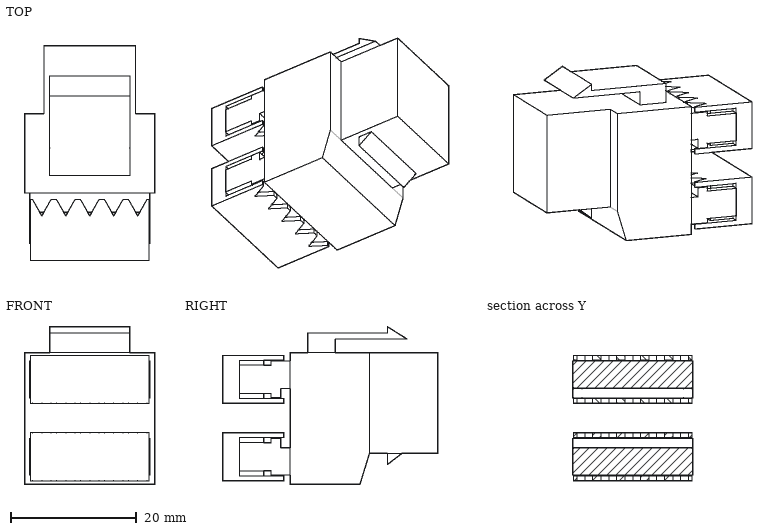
import cadquery as cq


BODY_WIDTH = 20.7
BODY_DEPTH = 12.63
BODY_HEIGHT = 20.95
REAR_WIDTH = 14.55
REAR_BOTTOM = 4.95
HOUSING_DEPTH = 23.45
FLAT_BOTTOM_DEPTH = 11.1

LATCH_WIDTH = 12.75
POST_FRONT = 2.8
POST_BACK = 7.2
BAR_BOTTOM = 23.1
BAR_TOP = 24.07
LATCH_PEAK = 25.08
BARB_FACE = 15.45
LATCH_TIP = 18.6
HOOK_TIP = 17.8
HOOK_DROP = 1.8

STATION_SPACING = 12.3
STATION_MIDDLE = 10.55
UPPER_STATION = STATION_MIDDLE + STATION_SPACING / 2

BLOCK_WIDTH = 19.1
BLOCK_HEIGHT = 5.85
BLOCK_REACH = 3.05
BLOCK_NOTCH_DEPTH = 1.45
BLOCK_NOTCH_HEIGHT = 1.47
ARM_REACH = 8.0
ARM_THICKNESS = 1.5
ARM_HEIGHT = 4.5

CAP_WIDTH = 18.9
CAP_HEIGHT = 7.65
CAP_WALL = 0.8
CAP_EDGE = 1.0
CAP_END = 10.7
CAVITY_END = 4.15
OPENING_HEIGHT = CAP_HEIGHT - 2 * CAP_WALL
ARM_INNER_X = BLOCK_WIDTH / 2 - ARM_THICKNESS

NOTCH_COUNT = 5
NOTCH_PITCH = 3.81
NOTCH_WIDTH = 2.94
NOTCH_DEPTH = 2.6


def box(x_range, y_range, z_range):
    """Box between the given pairs of limits."""
    size = [high - low for low, high in (x_range, y_range, z_range)]
    corner = (x_range[0], y_range[0], z_range[0])
    return cq.Workplane("XY").box(*size, centered=False).translate(corner)


def centered_range(size, middle=0.0):
    return (middle - size / 2, middle + size / 2)


def side_profile(points, width):
    """Extrude a (Y, Z) outline to a width centered on X = 0."""
    return cq.Workplane("YZ").polyline(points).close().extrude(width / 2, both=True)


def mirror_to_lower_station(upper):
    return upper.mirror("XY", (0, 0, STATION_MIDDLE))


def make_shell():
    body = side_profile(
        [
            (0, 0),
            (FLAT_BOTTOM_DEPTH, 0),
            (BODY_DEPTH, REAR_BOTTOM),
            (BODY_DEPTH, BODY_HEIGHT),
            (0, BODY_HEIGHT),
        ],
        BODY_WIDTH,
    )
    rear = box(centered_range(REAR_WIDTH), (BODY_DEPTH, HOUSING_DEPTH), (REAR_BOTTOM, BODY_HEIGHT))
    return body.union(rear)


def make_latch():
    return side_profile(
        [
            (POST_FRONT, BODY_HEIGHT),
            (POST_BACK, BODY_HEIGHT),
            (POST_BACK, BAR_BOTTOM),
            (LATCH_TIP, BAR_BOTTOM),
            (BARB_FACE, LATCH_PEAK),
            (BARB_FACE, BAR_TOP),
            (POST_FRONT, BAR_TOP),
        ],
        LATCH_WIDTH,
    )


def make_hook():
    return side_profile(
        [
            (BARB_FACE, REAR_BOTTOM),
            (BARB_FACE, REAR_BOTTOM - HOOK_DROP),
            (HOOK_TIP, REAR_BOTTOM),
        ],
        LATCH_WIDTH,
    )


def make_terminal_block():
    """Upper terminal block, notched underneath next to the housing face."""
    bottom, top = centered_range(BLOCK_HEIGHT, UPPER_STATION)
    block = side_profile(
        [
            (0, top),
            (-BLOCK_REACH, top),
            (-BLOCK_REACH, bottom),
            (-BLOCK_NOTCH_DEPTH, bottom),
            (-BLOCK_NOTCH_DEPTH, bottom + BLOCK_NOTCH_HEIGHT),
            (0, bottom + BLOCK_NOTCH_HEIGHT),
        ],
        BLOCK_WIDTH,
    )
    arm = box(
        (ARM_INNER_X, BLOCK_WIDTH / 2),
        (-ARM_REACH, -BLOCK_REACH),
        centered_range(ARM_HEIGHT, UPPER_STATION),
    )
    return block.union(arm).union(arm.mirror("YZ"))


def make_housing():
    block = make_terminal_block()
    housing = make_shell().union(make_latch()).union(make_hook())
    return housing.union(block).union(mirror_to_lower_station(block))


def make_wire_notch(x):
    return (
        cq.Workplane("XY")
        .workplane(offset=UPPER_STATION)
        .polyline(
            [
                (x - NOTCH_WIDTH / 2, -CAP_EDGE),
                (x + NOTCH_WIDTH / 2, -CAP_EDGE),
                (x, -CAP_EDGE - NOTCH_DEPTH),
            ]
        )
        .close()
        .extrude(CAP_HEIGHT / 2, both=True)
    )


def make_cap():
    """Upper cap: solid front, open cavity for the block, recesses for the arms."""
    opening = centered_range(OPENING_HEIGHT, UPPER_STATION)
    cap = box(
        centered_range(CAP_WIDTH),
        (-CAP_END, -CAP_EDGE),
        centered_range(CAP_HEIGHT, UPPER_STATION),
    )
    cap = cap.cut(box(centered_range(CAP_WIDTH), (-CAVITY_END, -CAP_EDGE), opening))
    arm_recess = box((ARM_INNER_X, CAP_WIDTH / 2), (-ARM_REACH, -CAVITY_END), opening)
    cap = cap.cut(arm_recess).cut(arm_recess.mirror("YZ"))
    for index in range(NOTCH_COUNT):
        x = (index - (NOTCH_COUNT - 1) / 2) * NOTCH_PITCH
        cap = cap.cut(make_wire_notch(x))
    return cap


housing = make_housing()
upper_cap = make_cap()
caps = [upper_cap, mirror_to_lower_station(upper_cap)]

solids = [body.solids().val() for body in (housing, *caps)]

result = cq.Compound.makeCompound(solids)